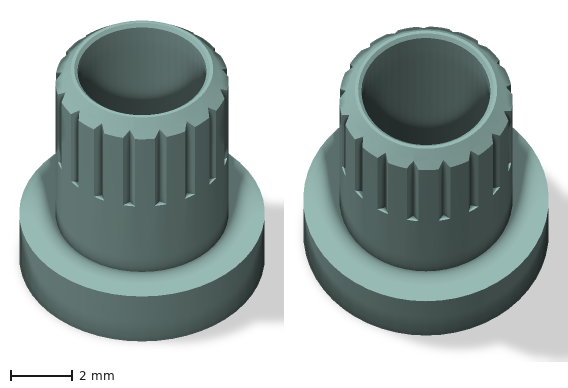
import cadquery as cq

total_height = 8.4
flange_diameter = 8.0
flange_height = 2.0
sleeve_diameter = 5.645
bore_diameter = 4.2
outer_chamfer = 0.5
bore_chamfer = 0.11

groove_count = 17
groove_depth = 0.2
groove_length = 3.495
first_groove_angle = 90.0

sleeve_radius = sleeve_diameter / 2
bore_radius = bore_diameter / 2


def make_body():
    """Revolve the flanged sleeve, with its bore and both top chamfers."""
    flange_radius = flange_diameter / 2
    profile = (
        cq.Workplane("XZ")
        .moveTo(bore_radius, 0)
        .lineTo(flange_radius, 0)
        .lineTo(flange_radius, flange_height)
        .lineTo(sleeve_radius, flange_height)
        .lineTo(sleeve_radius, total_height - outer_chamfer)
        .lineTo(sleeve_radius - outer_chamfer, total_height)
        .lineTo(bore_radius + bore_chamfer, total_height)
        .lineTo(bore_radius, total_height - bore_chamfer)
        .close()
    )
    return profile.revolve(360, (0, 0, 0), (0, 1, 0))


def make_groove_cutter():
    """Triangular prism with its tip at the groove root, opening along +X."""
    root_radius = sleeve_radius - groove_depth
    reach = 2 * groove_depth
    return (
        cq.Workplane("XY")
        .workplane(offset=total_height - groove_length)
        .moveTo(root_radius, 0)
        .lineTo(root_radius + reach, reach)
        .lineTo(root_radius + reach, -reach)
        .close()
        .extrude(groove_length)
    )


result = make_body()
groove_cutter = make_groove_cutter()
for index in range(groove_count):
    angle = first_groove_angle + index * 360 / groove_count
    result = result.cut(groove_cutter.rotate((0, 0, 0), (0, 0, 1), angle))